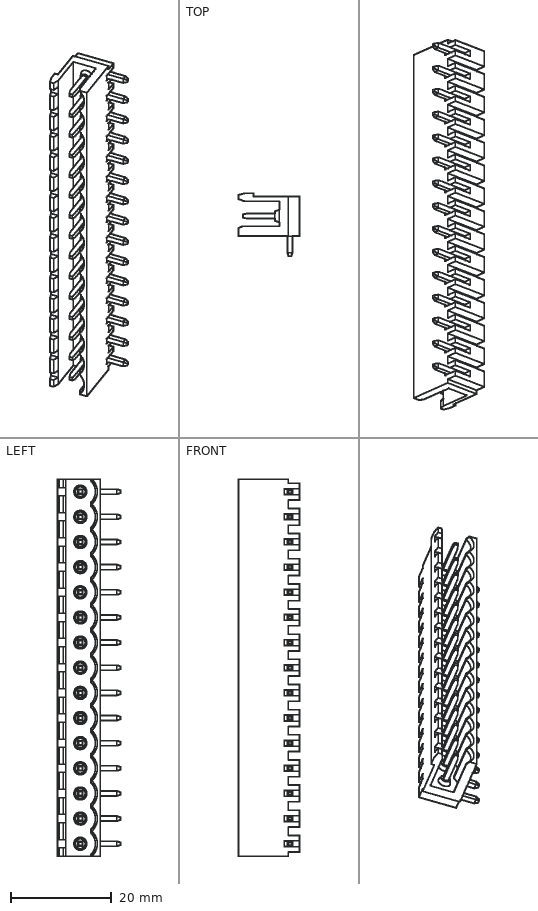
import cadquery as cq

PIN_COUNT = 15
BODY_LENGTH = 75.0
PITCH = BODY_LENGTH / PIN_COUNT
pin_heights = [PITCH * (index + 0.5) for index in range(PIN_COUNT)]

BODY_DEPTH = 12.2
CAVITY_FLOOR_X = 8.2
BODY_FRONT_Y = -4.0
BODY_BACK_Y = 3.9
FRONT_WALL_INNER_Y = -2.0
BACK_WALL_INNER_Y = 2.9
MOUTH_CHAMFER_DEPTH = 0.8
FRONT_MOUTH_CHAMFER = 0.4
BACK_MOUTH_CHAMFER = 0.45
BACK_CHAMFER_DEPTH = 1.2

RIDGE_HEIGHT = 0.7
RIDGE_TOP_Y = BODY_BACK_Y + RIDGE_HEIGHT
RIDGE_TOP_START_X = 1.4
RIDGE_END_X = 3.1
RIDGE_TIP_DROP = 0.4
RIDGE_TIP_Y = RIDGE_TOP_Y - RIDGE_TIP_DROP

LIP_NOTCH_WIDTH = 1.65
LIP_NOTCH_DEPTH = 1.2

SCALLOP_RADIUS = 3.0
SCALLOP_MOUTH_RADIUS = 3.4

FOOT_START_X = 10.0
FOOT_WIDTH = 3.4

SLOT_START_X = 9.15
SLOT_WIDTH = 1.2
SLOT_END_Y = 0.0

COLLAR_RADIUS = 1.3
COLLAR_TIP_RADIUS = 1.0
COLLAR_START_X = 7.3
CONTACT_WIDTH = 1.05
CONTACT_TIP_X = 0.9
CONTACT_TIP_WIDTH = 0.7
CONTACT_TIP_LENGTH = 0.8
SOLDER_X = 10.3
SOLDER_WIDTH = 1.05
SOLDER_TIP_Y = -8.0
SOLDER_TIP_WIDTH = 0.5
SOLDER_TIP_LENGTH = 0.75


def make_housing():
    """U-shaped channel with a latch ridge, extruded along the pin row."""
    return (
        cq.Workplane("XY")
        .moveTo(0, BODY_FRONT_Y)
        .lineTo(BODY_DEPTH, BODY_FRONT_Y)
        .lineTo(BODY_DEPTH, BODY_BACK_Y)
        .lineTo(RIDGE_END_X, BODY_BACK_Y)
        .lineTo(RIDGE_END_X, RIDGE_TOP_Y)
        .lineTo(RIDGE_TOP_START_X, RIDGE_TOP_Y)
        .lineTo(0, RIDGE_TIP_Y)
        .lineTo(0, BACK_WALL_INNER_Y + BACK_MOUTH_CHAMFER)
        .lineTo(BACK_CHAMFER_DEPTH, BACK_WALL_INNER_Y)
        .lineTo(CAVITY_FLOOR_X, BACK_WALL_INNER_Y)
        .lineTo(CAVITY_FLOOR_X, FRONT_WALL_INNER_Y)
        .lineTo(MOUTH_CHAMFER_DEPTH, FRONT_WALL_INNER_Y)
        .lineTo(0, FRONT_WALL_INNER_Y - FRONT_MOUTH_CHAMFER)
        .close()
        .extrude(BODY_LENGTH)
    )


def make_block(x_range, y_range, z_center, height):
    """Box between two X and two Y places, centred on a height."""
    return (
        cq.Workplane("XY")
        .box(x_range[1] - x_range[0], y_range[1] - y_range[0], height, centered=False)
        .translate((x_range[0], y_range[0], z_center - height / 2))
    )


def make_turned(points, z_center):
    """Solid of revolution about the contact axis from (X, radius) points."""
    return (
        cq.Workplane("XY")
        .polyline(points)
        .close()
        .revolve(360, (0, 0), (1, 0))
        .translate((0, 0, z_center))
    )


def make_scallop(z_center):
    """Front half of a cylinder along the contact axis, flared at the mouth."""
    flared_cylinder = make_turned(
        [
            (0, 0),
            (0, SCALLOP_MOUTH_RADIUS),
            (MOUTH_CHAMFER_DEPTH, SCALLOP_RADIUS),
            (CAVITY_FLOOR_X, SCALLOP_RADIUS),
            (CAVITY_FLOOR_X, 0),
        ],
        z_center,
    )
    return flared_cylinder.intersect(
        make_block((0, CAVITY_FLOOR_X), (BODY_FRONT_Y, 0), z_center, PITCH)
    )


def make_collar(z_center):
    """Tapered collar at the root of a contact."""
    return make_turned(
        [
            (COLLAR_START_X, 0),
            (COLLAR_START_X, COLLAR_TIP_RADIUS),
            (CAVITY_FLOOR_X, COLLAR_RADIUS),
            (CAVITY_FLOOR_X, 0),
        ],
        z_center,
    )


def make_pin(length, width, tip_length, tip_width):
    """Square pin pointing along +Z from the origin, with a tapered tip."""
    shank_length = length - tip_length
    shank = cq.Workplane("XY").rect(width, width).extrude(shank_length)
    tip = (
        cq.Workplane("XY", origin=(0, 0, shank_length))
        .rect(width, width)
        .workplane(offset=tip_length)
        .rect(tip_width, tip_width)
        .loft()
    )
    return shank.union(tip)


def make_bent_pin(z_center):
    """Contact along -X joined to a solder pin along -Y."""
    contact_root_x = SOLDER_X + SOLDER_WIDTH / 2
    contact = make_pin(
        contact_root_x - CONTACT_TIP_X, CONTACT_WIDTH, CONTACT_TIP_LENGTH, CONTACT_TIP_WIDTH
    )
    solder = make_pin(-SOLDER_TIP_Y, SOLDER_WIDTH, SOLDER_TIP_LENGTH, SOLDER_TIP_WIDTH)
    contact = contact.rotate((0, 0, 0), (0, 1, 0), -90).translate((contact_root_x, 0, z_center))
    solder = solder.rotate((0, 0, 0), (1, 0, 0), 90).translate((SOLDER_X, 0, z_center))
    return contact.union(solder)


lip_x = (0, LIP_NOTCH_DEPTH)
lip_y = (BACK_WALL_INNER_Y, RIDGE_TOP_Y)
slot_x = (SLOT_START_X, BODY_DEPTH)
slot_y = (BODY_FRONT_Y, SLOT_END_Y)
foot_x = (FOOT_START_X, BODY_DEPTH)
body_y = (BODY_FRONT_Y, BODY_BACK_Y)

result = make_housing()

for index in range(PIN_COUNT + 1):
    result = result.cut(make_block(foot_x, body_y, index * PITCH, PITCH - FOOT_WIDTH))

for height in pin_heights:
    result = result.cut(make_scallop(height))
    result = result.cut(make_block(lip_x, lip_y, height, LIP_NOTCH_WIDTH))
    result = result.cut(make_block(slot_x, slot_y, height, SLOT_WIDTH))
    result = result.union(make_collar(height)).union(make_bent_pin(height))